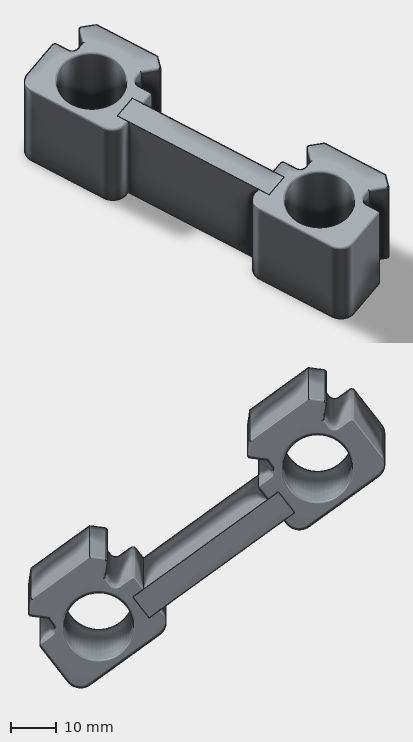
import cadquery as cq

total_length = 86.1
height = 25.0

block_width = 26.1
block_depth = 23.6
bore_diameter = 15.25
bore_to_front = 9.6
shoulder_to_back = 9.4
foot_corner_radius = 3.5
shoulder_corner_radius = 0.8
edge_round = 0.5

head_back_width = 16.1
head_slope = 2.6
head_tip_flat = 0.5
neck_width = 15.5
neck_fillet_radius = 1.55

web_thickness = 5.95
web_to_front = 4.6
web_embed = 3.0

block_spacing = total_length - block_width
front_y = -bore_to_front
back_y = front_y + block_depth
shoulder_y = back_y - shoulder_to_back
web_length = block_spacing - block_width + 2 * web_embed
web_center_y = front_y + web_to_front + web_thickness / 2


def make_web():
    """Flat plate whose ends sit in slots in the blocks."""
    return (
        cq.Workplane("XY")
        .center(0, web_center_y)
        .rect(web_length, web_thickness)
        .extrude(height)
    )


def block_profile():
    """Closed outline of a block, symmetric about its bore axis."""
    half_block = block_width / 2
    half_neck = neck_width / 2
    half_back = head_back_width / 2
    half_tip = half_back + head_slope
    tip_back_y = back_y - head_slope
    tip_front_y = tip_back_y - head_tip_flat
    neck_back_y = tip_front_y - (half_tip - half_neck)

    right_side = [
        (half_block, front_y),
        (half_block, shoulder_y),
        (half_neck, shoulder_y),
        (half_neck, neck_back_y),
        (half_tip, tip_front_y),
        (half_tip, tip_back_y),
        (half_back, back_y),
    ]
    left_side = [(-x, y) for x, y in reversed(right_side)]
    return cq.Workplane("XY").polyline(right_side + left_side).close()


def round_upright_edges(block, half_spacing, y, radius):
    """Round the pair of upright edges at X = +/- half_spacing on the line Y = y."""
    for x in (-half_spacing, half_spacing):
        block = block.edges(cq.NearestToPointSelector((x, y, height / 2))).fillet(radius)
    return block


def make_block(center_x, web):
    """Bored dovetail block centred on center_x, slotted for the web."""
    block = block_profile().extrude(height)
    block = round_upright_edges(block, block_width / 2, front_y, foot_corner_radius)
    block = round_upright_edges(block, block_width / 2, shoulder_y, shoulder_corner_radius)
    block = round_upright_edges(block, neck_width / 2, shoulder_y, neck_fillet_radius)

    bore = cq.Workplane("XY").circle(bore_diameter / 2).extrude(height)
    block = block.cut(bore)

    block = block.faces("<Z or >Z").edges().fillet(edge_round)

    return block.translate((center_x, 0, 0)).cut(web)


web = make_web()
blocks = [make_block(side * block_spacing / 2, web) for side in (-1, 1)]

result = cq.Compound.makeCompound([web.val(), *[block.val() for block in blocks]])